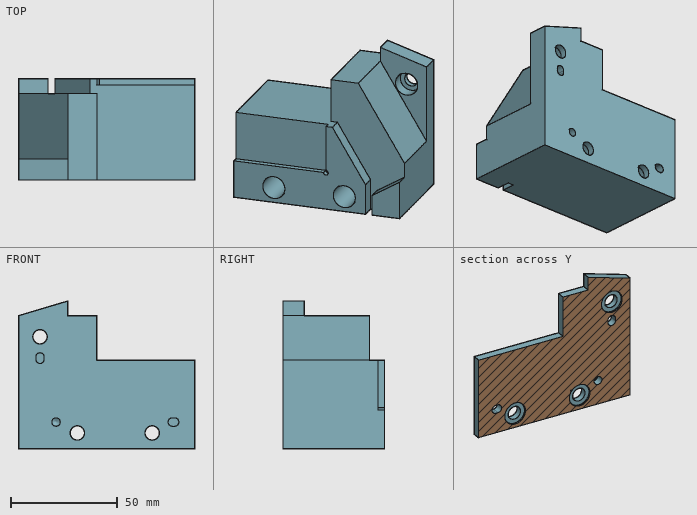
import cadquery as cq
import math

length = 82.45
depth = 47.6
height = 69.3
body_height = 41.55

tower_height = 62.5
tower_width = 36.6
ramp_width = 23.0
ramp_foot_height = 25.2
plate_thickness = 10.0

notch_depth = 7.0
notch_top_x = 33.4
notch_shelf_height = 18.3
relief_slot_width = 3.1

step_depth = 3.0
step_floor_height = notch_shelf_height
step_relief_radius = 1.15

screw_centers = [(10.0, 52.5), (27.45, 7.5), (62.5, 7.5)]
screw_diameter = 6.6
counterbore_diameter = 11.0
screw_seat_depth = 3.3

dowel_diameter = 3.95
dowel_depth = 8.0
slot_length = 5.0
dowel_center = (17.5, 12.6)
drill_tip_angle = 118.0
upright_slot_center = (10.0, 42.55)
level_slot_center = (72.5, 12.6)

back_of_tower = depth - notch_depth
ramp_slope = (tower_height - ramp_foot_height) / ramp_width


def extrude_along_y(points, y_start, y_end):
    """Prism with an (x, z) outline, running from y_start to y_end."""
    outline = cq.Workplane("XZ", origin=(0, y_start, 0)).polyline(points).close()
    return outline.extrude(y_start - y_end)


def cylinder_along_y(center, diameter, y_start, y_end):
    """Round bar centred on (x, z), running from y_start to y_end."""
    circle = cq.Workplane("XZ", origin=(0, y_start, 0)).center(*center).circle(diameter / 2)
    return circle.extrude(y_start - y_end)


def make_body():
    """Full-depth block with the ramped tower and the front plate."""
    block = cq.Workplane("XY").box(length, depth, body_height, centered=False)
    ramp_outline = [
        (0, 0),
        (tower_width, 0),
        (tower_width, tower_height),
        (ramp_width, tower_height),
        (0, ramp_foot_height),
    ]
    plate_outline = [
        (0, 0),
        (tower_width, 0),
        (tower_width, tower_height),
        (ramp_width, tower_height),
        (ramp_width, height),
        (0, tower_height),
    ]
    ramp_clearance = extrude_along_y(
        [(0, ramp_foot_height), (ramp_width, tower_height), (0, tower_height)],
        plate_thickness,
        back_of_tower,
    )
    tower = extrude_along_y(ramp_outline, 0, back_of_tower)
    plate = extrude_along_y(plate_outline, 0, plate_thickness)
    return block.cut(ramp_clearance).union(tower).union(plate)


def notch_cutter():
    """Back notch: a face parallel to the ramp meeting a shelf square to it."""
    shelf_slope = -1 / ramp_slope
    face_height_at_origin = body_height - ramp_slope * notch_top_x
    corner_x = (notch_shelf_height - face_height_at_origin) / (ramp_slope - shelf_slope)
    corner_z = notch_shelf_height + shelf_slope * corner_x
    notch_outline = [
        (0, notch_shelf_height),
        (corner_x, corner_z),
        (notch_top_x, body_height),
        (0, body_height),
    ]
    notch = extrude_along_y(notch_outline, back_of_tower, depth)
    relief_slot = cq.Workplane("XY").box(
        relief_slot_width, notch_depth, body_height, centered=False
    ).translate((corner_x, back_of_tower, 0))
    return notch.union(relief_slot)


def step_cutter():
    """Step on the back of the body with its corner relief."""
    step_front = depth - step_depth
    step = cq.Workplane("XY").box(
        length - tower_width, step_depth, body_height - step_floor_height, centered=False
    ).translate((tower_width, step_front, step_floor_height))
    corner = (tower_width, step_floor_height)
    return step.union(cylinder_along_y(corner, 2 * step_relief_radius, step_front, depth))


def screw_hole_cutter(center):
    """Clearance hole from the front, counterbored from the back."""
    shank = cylinder_along_y(center, screw_diameter, 0, depth)
    return shank.union(cylinder_along_y(center, counterbore_diameter, screw_seat_depth, depth))


def dowel_hole_cutter():
    """Blind drilled hole with a conical bottom."""
    radius = dowel_diameter / 2
    tip_length = radius / math.tan(math.radians(drill_tip_angle / 2))
    x, z = dowel_center
    profile = [(0, 0), (radius, 0), (radius, dowel_depth), (0, dowel_depth + tip_length)]
    drill = cq.Workplane("XY").polyline(profile).close().revolve(360, (0, 0, 0), (0, 1, 0))
    return drill.translate((x, 0, z))


def dowel_slot_cutter(center, angle):
    """Blind round-ended slot; angle 0 is level, 90 is upright."""
    slot = cq.Workplane("XZ").center(*center).slot2D(slot_length, dowel_diameter, angle)
    return slot.extrude(-dowel_depth)


result = make_body().cut(notch_cutter()).cut(step_cutter())
for screw_center in screw_centers:
    result = result.cut(screw_hole_cutter(screw_center))
result = result.cut(dowel_hole_cutter())
result = result.cut(dowel_slot_cutter(upright_slot_center, 90))
result = result.cut(dowel_slot_cutter(level_slot_center, 0))